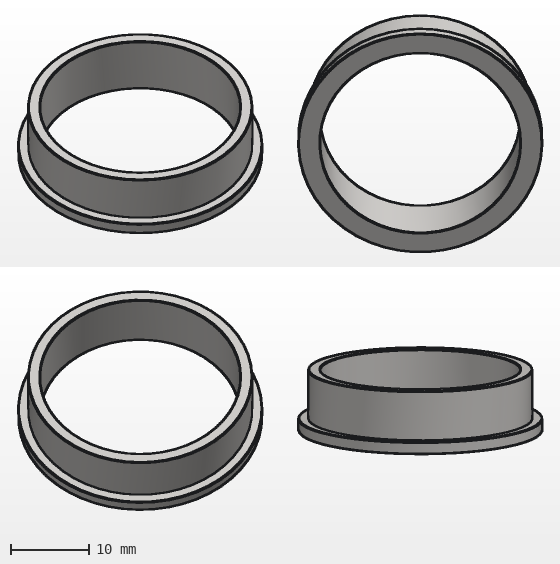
import cadquery as cq

flange_diameter = 31.115
body_diameter = 28.575
bore_diameter = 25.5
total_height = 7.9375
flange_height = 1.5875
edge_chamfer = 0.1
chamfer_angle = 45


def make_cylinder(diameter, height):
    """Upright cylinder standing on the base plane."""
    return cq.Workplane("XY").circle(diameter / 2).extrude(height)


def make_body():
    """Sleeve blank with its top outer edge broken."""
    return make_cylinder(body_diameter, total_height).faces(">Z").edges().chamfer(edge_chamfer)


def make_flange():
    """Flange disc at the base with both rim edges broken."""
    return make_cylinder(flange_diameter, flange_height).edges("%CIRCLE").chamfer(edge_chamfer)


def make_bore():
    """Through bore that widens at both ends to break its edges."""
    bore = make_cylinder(bore_diameter, total_height)
    mouth_radius = bore_diameter / 2 + edge_chamfer
    bottom_mouth = cq.Workplane("XY").circle(mouth_radius).extrude(edge_chamfer, taper=chamfer_angle)
    top_mouth = bottom_mouth.mirror("XY").translate((0, 0, total_height))
    return bore.union(bottom_mouth).union(top_mouth)


result = make_flange().union(make_body()).cut(make_bore())